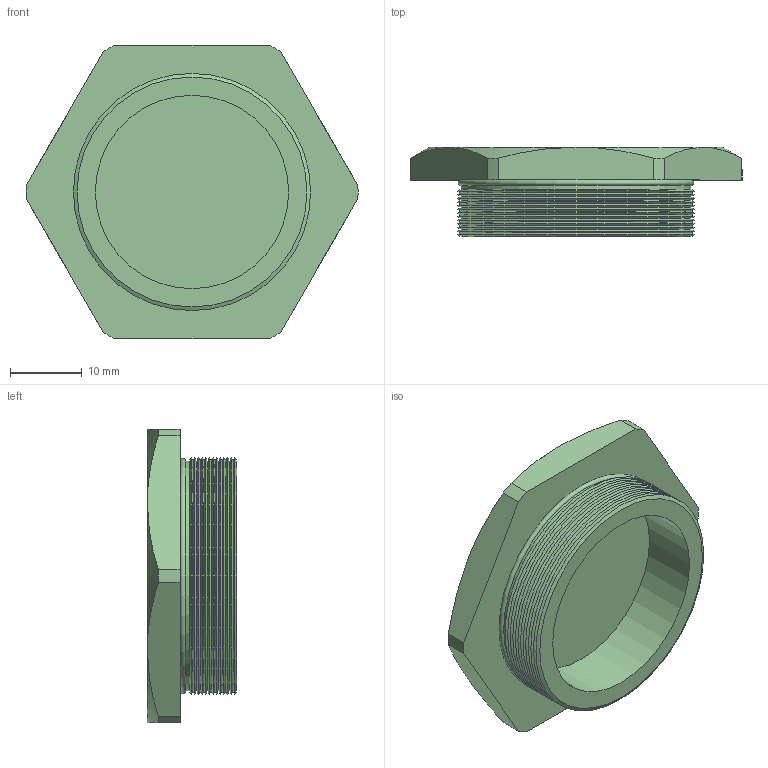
import cadquery as cq
import math

total_length = 12.45
head_thickness = 4.57
across_flats = 40.89
corner_radius = 23.105
head_chamfer_angle = 30.0

bead_radius = 0.38

thread_crest_radius = 16.51
thread_root_radius = 16.0
thread_pitch = 0.508
thread_count = 13

pocket_radius = 13.46
pocket_floor_thickness = head_thickness

open_end = 0.0
head_front = total_length - head_thickness
bead_centre = head_front - bead_radius


def revolve_about_y(profile):
    """Revolve a closed (radius, Y) profile a full turn about the Y axis."""
    return profile.close().revolve(360, (0, 0, 0), (0, 1, 0))


def make_head():
    """Hexagonal head with trimmed corners and a conical chamfer on the back face."""
    across_corners = across_flats / math.cos(math.pi / 6)
    hexagon = (
        cq.Workplane("XZ", origin=(0, total_length, 0))
        .polygon(6, across_corners)
        .extrude(head_thickness)
    )
    chamfer_start_radius = across_flats / 2
    chamfer_width = corner_radius - chamfer_start_radius
    chamfer_depth = chamfer_width * math.tan(math.radians(head_chamfer_angle))
    envelope = revolve_about_y(
        cq.Workplane("XY")
        .moveTo(0, head_front)
        .lineTo(corner_radius, head_front)
        .lineTo(corner_radius, total_length - chamfer_depth)
        .lineTo(chamfer_start_radius, total_length)
        .lineTo(0, total_length)
    )
    return hexagon.intersect(envelope)


def make_shank():
    """Threaded shank with ring-shaped V ridges, a plain neck and a half-round bead."""
    profile = cq.Workplane("XY").moveTo(0, open_end).lineTo(thread_root_radius, open_end)
    for ridge in range(thread_count):
        ridge_start = open_end + ridge * thread_pitch
        profile = profile.lineTo(thread_crest_radius, ridge_start + thread_pitch / 2)
        profile = profile.lineTo(thread_root_radius, ridge_start + thread_pitch)
    profile = (
        profile.lineTo(thread_root_radius, bead_centre - bead_radius)
        .threePointArc(
            (thread_root_radius + bead_radius, bead_centre),
            (thread_root_radius, head_front),
        )
        .lineTo(0, head_front)
    )
    return revolve_about_y(profile)


def make_pocket():
    """Blind round pocket sunk from the open end."""
    pocket_depth = total_length - pocket_floor_thickness
    return (
        cq.Workplane("XZ", origin=(0, open_end + pocket_depth, 0))
        .circle(pocket_radius)
        .extrude(pocket_depth)
    )


result = make_head().union(make_shank()).cut(make_pocket())